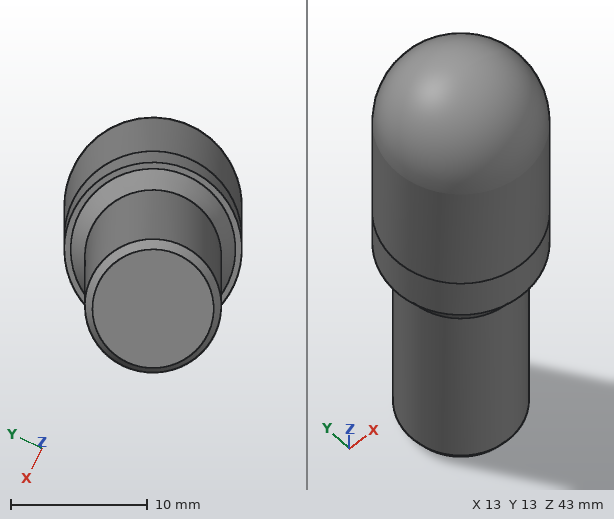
import cadquery as cq

total_height = 43.0
head_radius = 6.5

stem_radius = 5.0
stem_top = 18.5
tip_chamfer_height = 1.0
tip_radius = 4.45
flare_top_radius = 6.0
flare_height = 2.62
collar_height = 4.0

collar_bottom = stem_top + flare_height
collar_top = collar_bottom + collar_height
dome_bottom = total_height - head_radius


def make_stem():
    """Chamfered stem that flares out under a full-width collar."""
    return (
        cq.Workplane("XZ")
        .lineTo(tip_radius, 0)
        .lineTo(stem_radius, tip_chamfer_height)
        .lineTo(stem_radius, stem_top)
        .lineTo(flare_top_radius, collar_bottom)
        .lineTo(head_radius, collar_bottom)
        .lineTo(head_radius, collar_top)
        .lineTo(0, collar_top)
        .close()
        .revolve(360, (0, 0, 0), (0, 1, 0))
    )


def make_cap():
    """Cylindrical cap with a hemispherical top, resting on the collar."""
    return (
        cq.Workplane("XZ")
        .moveTo(0, collar_top)
        .lineTo(head_radius, collar_top)
        .lineTo(head_radius, dome_bottom)
        .radiusArc((0, total_height), -head_radius)
        .close()
        .revolve(360, (0, 0, 0), (0, 1, 0))
    )


stem = make_stem()
cap = make_cap()

result = cq.Compound.makeCompound([stem.val(), cap.val()])